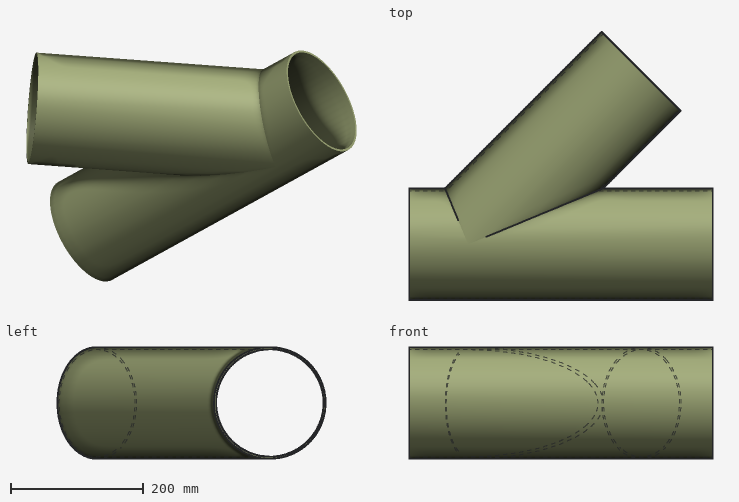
import cadquery as cq
import math

outer_diameter = 168.28
inner_diameter = 161.47

run_length = 457.2

branch_angle = 45.0
branch_length = 368.3
branch_offset = 88.9

run_start = cq.Vector(-branch_offset, 0, 0)
run_direction = cq.Vector(1, 0, 0)
crossing = cq.Vector(0, 0, 0)
branch_direction = cq.Vector(
    math.cos(math.radians(branch_angle)),
    math.sin(math.radians(branch_angle)),
    0,
)


def cylinder(diameter, length, start, direction):
    """Solid round bar starting at a point and running along a direction."""
    return cq.Workplane(cq.Solid.makeCylinder(diameter / 2, length, start, direction))


def lateral(diameter):
    """Run and branch of one diameter joined into a single solid."""
    run = cylinder(diameter, run_length, run_start, run_direction)
    branch = cylinder(diameter, branch_length, crossing, branch_direction)
    return run.union(branch)


result = lateral(outer_diameter).cut(lateral(inner_diameter)).solids()